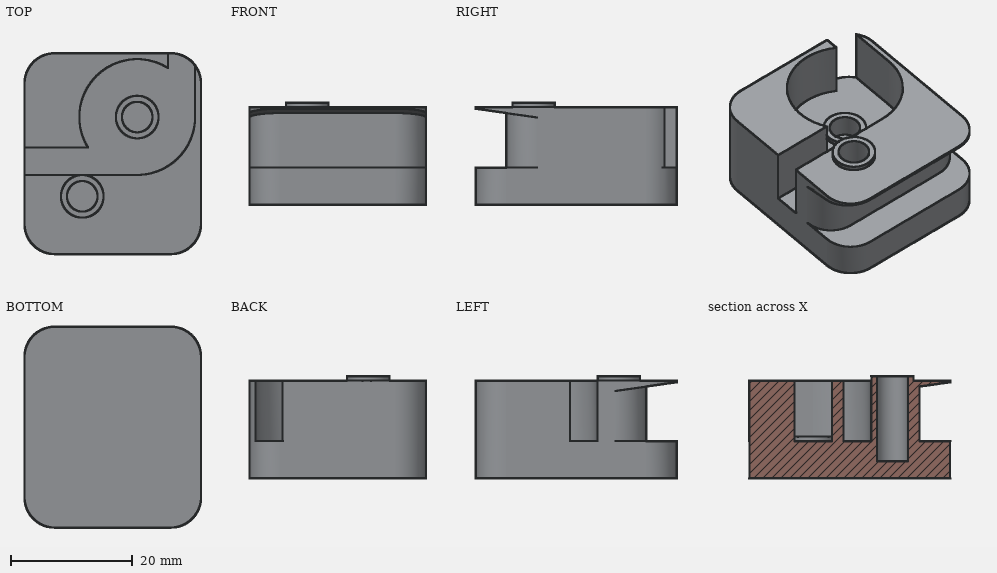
import cadquery as cq

length = 33.0
width = 29.0
block_height = 16.0
base_height = 6.07
corner_radius = 5.0

undercut_depth = corner_radius
lip_root_y = undercut_depth + corner_radius
lip_root_z = 14.32
lip_tip_z = 15.75

pocket_x = 18.5
pocket_y = 22.5
pocket_radius = 9.5
channel_width = 4.5

collar_diameter = 7.0
collar_height = 0.75
bore_diameter = 5.0
bore_floor_z = 2.8
post_x = 9.5
post_y = 9.5


def rounded_block(size_y, height):
    """Upright block with rounded vertical edges, starting at the origin."""
    block = cq.Workplane("XY").box(width, size_y, height, centered=False)
    return block.edges("|Z").fillet(corner_radius)


def front_undercut():
    """Space under the sloping lip, in front of the set-back rounded wall."""
    profile = [
        (0, base_height),
        (lip_root_y, base_height),
        (lip_root_y, lip_root_z),
        (0, lip_tip_z),
    ]
    wedge = cq.Workplane("YZ").polyline(profile).close().extrude(width)
    wall = rounded_block(length - undercut_depth, block_height)
    return wedge.cut(wall.translate((0, undercut_depth, 0)))


def pocket():
    """Round pocket joined tangentially by the two channels."""
    depth = block_height - base_height
    floor = cq.Workplane("XY", origin=(0, 0, base_height))
    round_part = floor.center(pocket_x, pocket_y).circle(pocket_radius).extrude(depth)
    left_channel = cq.Workplane("XY").box(pocket_x, channel_width, depth, centered=False)
    left_channel = left_channel.translate((0, pocket_y - pocket_radius, base_height))
    back_channel = cq.Workplane("XY").box(channel_width, length - pocket_y, depth, centered=False)
    back_channel_x = pocket_x + pocket_radius - channel_width
    back_channel = back_channel.translate((back_channel_x, pocket_y, base_height))
    return round_part.union(left_channel).union(back_channel)


def add_collar_and_bore(body, x, y, seat_z):
    """Raise a collar on the seat and bore it down to the common bore floor."""
    collar = cq.Workplane("XY", origin=(x, y, seat_z)).circle(collar_diameter / 2).extrude(collar_height)
    bore_depth = seat_z + collar_height - bore_floor_z
    bore = cq.Workplane("XY", origin=(x, y, bore_floor_z)).circle(bore_diameter / 2).extrude(bore_depth)
    return body.union(collar).cut(bore)


result = rounded_block(length, block_height).cut(front_undercut()).cut(pocket())
result = add_collar_and_bore(result, pocket_x, pocket_y, base_height)
result = add_collar_and_bore(result, post_x, post_y, block_height)